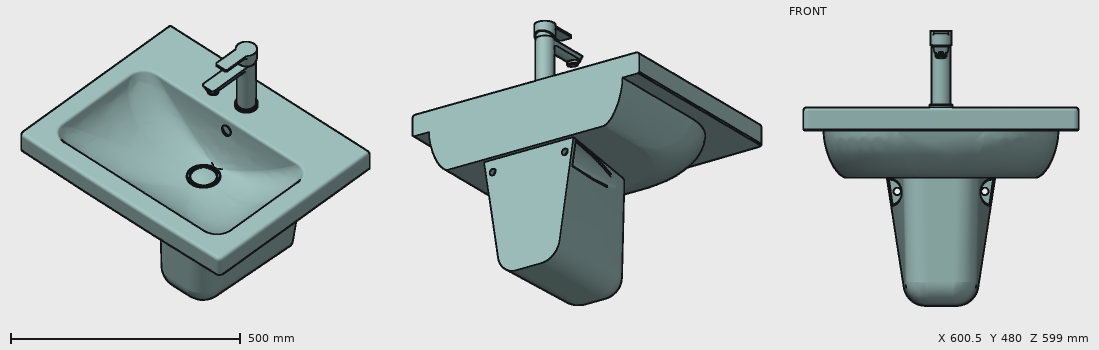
import cadquery as cq
import math


DECK_WIDTH = 600.5
DECK_DEPTH = 480.0
DECK_THICKNESS = 51.0
FRONT_BOW = 3.0
DECK_CORNER_RADIUS = 12.0
DECK_TOP_FILLET = 8.0
DECK_BOTTOM_CHAMFER = 3.0

BOWL_DEPTH = 153.5
SHELL_HALF_WIDTH = 256.5
SHELL_FRONT = -428.5
SHELL_BOTTOM_HALF_WIDTH = 206.0
SHELL_BOTTOM_FRONT = -300.0
SHELL_CORNER_RADIUS = 162.0
BOWL_CURVE_EXPONENT = 1.7

OPENING_HALF_WIDTH = 249.0
OPENING_BACK = -135.0
OPENING_FRONT = -429.0
OPENING_CORNER_RADIUS = 36.0
OPENING_FILLET = 6.5
BASIN_FLOOR = -119.5
LOFT_STEPS = 6

OVERFLOW_RADIUS = 12.5
OVERFLOW_Z = -33.0
OVERFLOW_REACH = 36.0

DRAIN_Y = -209.5
DRAIN_RADIUS = 37.0
DRAIN_EDGE_MARGIN = 0.5
DRAIN_THICKNESS = 12.0
DRAIN_FLANGE_CHAMFER = 2.0
PLUG_RADIUS = 31.0
PLUG_GROOVE_WIDTH = 2.5
PLUG_GROOVE_DEPTH = 2.5
PLUG_DOME_HEIGHT = 3.5

SHROUD_BACK = -11.5
SHROUD_FRONT = -291.0
SHROUD_TOP = -BOWL_DEPTH
SHROUD_BACK_BOTTOM = -433.0
SHROUD_FRONT_BOTTOM = -428.5
SHROUD_BACK_TOP_HALF = 118.0
SHROUD_BACK_BOTTOM_HALF = 75.0
SHROUD_FRONT_TOP_HALF = 77.0
SHROUD_FRONT_BOTTOM_HALF = 76.0
SHROUD_FILLET = 49.0

SCOOP_RADIUS = 29.0
SCOOP_X = 114.0
SCOOP_Z = -185.5
SCOOP_BACK = -26.5
SCOOP_RIM_CHAMFER = 2.5
SCREW_HOLE_RADIUS = 8.0
SCREW_HOLE_X = 95.5
SCREW_HOLE_Z = -183.0

TAP_Y = -73.0
COLUMN_RADIUS = 21.0
COLUMN_HEIGHT = 132.0
TAP_FLANGE_RADIUS = 25.0
TAP_FLANGE_HEIGHT = 6.5
TAP_FLANGE_CHAMFER = 2.0
SPOUT_HALF_WIDTH = 17.0
SPOUT_LOWER_HALF_WIDTH = 15.0
SPOUT_SIDE_BOTTOM = 121.0
SPOUT_TIP = -198.0
SPOUT_TIP_SLANT = 8.5
SPOUT_BOTTOM = 114.0
SPOUT_CORNER_RADIUS = 7.0
SPOUT_BLEND_RADIUS = 12.0

HANDLE_TOP = 166.0
NECK_RADIUS = 20.5
CAP_RADIUS = 23.5
CAP_BACK_BOTTOM = 144.5
CAP_FRONT_BOTTOM = 135.5
LEVER_TIP = -155.0
LEVER_HALF_WIDTH = 16.0
LEVER_THICKNESS = 5.0
LEVER_CORNER_RADIUS = 5.0
LEVER_ROOT_FILLET = 5.0

AERATOR_Y = -179.5
AERATOR_RADIUS = 12.5
AERATOR_NOZZLE_RADIUS = 11.0
AERATOR_TILT = 11.0
AERATOR_COLLAR_TOP = 4.0
AERATOR_COLLAR_BOTTOM = 2.5
AERATOR_NOZZLE_BOTTOM = 5.5

EDGE_MARGIN = 0.5


def curve_inset(depth_fraction):
    """Share of the total inset reached at a share of the depth, on a superellipse."""
    remaining = max(0.0, 1.0 - depth_fraction**BOWL_CURVE_EXPONENT)
    return 1.0 - remaining ** (1.0 / BOWL_CURVE_EXPONENT)


def blend(start, end, share):
    return start + (end - start) * share


def loft_depth_fractions():
    """Depth shares that lie closer together toward the flat bottom."""
    return [math.sin(math.pi / 2 * step / LOFT_STEPS) for step in range(LOFT_STEPS + 1)]


def rounded_rectangle(half_width, back, front, radius, z):
    center = cq.Vector(0, (back + front) / 2, z)
    face = cq.Face.makePlane(back - front, 2 * half_width, center)
    return face.fillet2D(radius, face.Vertices()).outerWire()


def shell_outline(half_width, front, z):
    """Outline that is open to the wall at the back and has round front corners."""
    radius = SHELL_CORNER_RADIUS
    diagonal = radius * (1 - math.sqrt(0.5))
    outline = (
        cq.Workplane("XY", origin=(0, 0, z))
        .moveTo(-half_width, 0)
        .lineTo(-half_width, front + radius)
        .threePointArc((-half_width + diagonal, front + diagonal), (-half_width + radius, front))
        .lineTo(half_width - radius, front)
        .threePointArc((half_width - diagonal, front + diagonal), (half_width, front + radius))
        .lineTo(half_width, 0)
        .close()
    )
    return outline.val()


def make_deck():
    half = DECK_WIDTH / 2
    corner_y = -DECK_DEPTH + FRONT_BOW
    deck = (
        cq.Workplane("XY", origin=(0, 0, -DECK_THICKNESS))
        .moveTo(-half, 0)
        .lineTo(-half, corner_y)
        .threePointArc((0, -DECK_DEPTH), (half, corner_y))
        .lineTo(half, 0)
        .close()
        .extrude(DECK_THICKNESS)
    )
    deck = deck.edges("|Z").edges("<Y").fillet(DECK_CORNER_RADIUS)
    deck = deck.faces(">Z").edges("not >Y").fillet(DECK_TOP_FILLET)
    return deck.faces("<Z").edges("not >Y").chamfer(DECK_BOTTOM_CHAMFER)


def make_bowl_shell():
    outlines = []
    for fraction in loft_depth_fractions():
        inset = curve_inset(fraction)
        outlines.append(
            shell_outline(
                blend(SHELL_HALF_WIDTH, SHELL_BOTTOM_HALF_WIDTH, inset),
                blend(SHELL_FRONT, SHELL_BOTTOM_FRONT, inset),
                blend(-DECK_THICKNESS, -BOWL_DEPTH, fraction),
            )
        )
    return cq.Workplane(cq.Solid.makeLoft(outlines))


def make_bowl_cavity():
    floor_half = DRAIN_RADIUS + DRAIN_EDGE_MARGIN
    outlines = []
    for fraction in loft_depth_fractions():
        inset = curve_inset(fraction)
        half_width = blend(OPENING_HALF_WIDTH, floor_half, inset)
        back = blend(OPENING_BACK, DRAIN_Y + floor_half, inset)
        front = blend(OPENING_FRONT, DRAIN_Y - floor_half, inset)
        half_depth = (back - front) / 2
        opening_roundness = OPENING_CORNER_RADIUS / ((OPENING_BACK - OPENING_FRONT) / 2)
        floor_roundness = 1.0 - DRAIN_EDGE_MARGIN / floor_half
        radius = half_depth * blend(opening_roundness, floor_roundness, math.sqrt(inset))
        z = blend(0.0, BASIN_FLOOR, fraction)
        outlines.append(rounded_rectangle(half_width, back, front, radius, z))
    return cq.Workplane(cq.Solid.makeLoft(outlines))


def make_basin():
    basin = make_deck().union(make_bowl_shell()).cut(make_bowl_cavity())
    inside_opening = cq.selectors.BoxSelector(
        (-OPENING_HALF_WIDTH - EDGE_MARGIN, OPENING_FRONT - EDGE_MARGIN, -EDGE_MARGIN),
        (OPENING_HALF_WIDTH + EDGE_MARGIN, OPENING_BACK + EDGE_MARGIN, EDGE_MARGIN),
    )
    basin = basin.edges(inside_opening).fillet(OPENING_FILLET)
    overflow = (
        cq.Workplane("XZ", origin=(0, OPENING_BACK, OVERFLOW_Z))
        .circle(OVERFLOW_RADIUS)
        .extrude(OVERFLOW_REACH)
    )
    drain_recess = (
        cq.Workplane("XY", origin=(0, DRAIN_Y, BASIN_FLOOR - DRAIN_THICKNESS))
        .circle(DRAIN_RADIUS)
        .extrude(DRAIN_THICKNESS)
    )
    return basin.cut(overflow).cut(drain_recess)


def make_drain():
    """Drain fitting: a flange, a ring groove and a shallow domed plug."""
    groove_inner = PLUG_RADIUS - PLUG_GROOVE_WIDTH
    flange_top = DRAIN_FLANGE_CHAMFER
    dome_radius = (groove_inner**2 + PLUG_DOME_HEIGHT**2) / (2 * PLUG_DOME_HEIGHT)
    profile = (
        cq.Workplane("XZ", origin=(0, DRAIN_Y, BASIN_FLOOR))
        .moveTo(0, -DRAIN_THICKNESS)
        .lineTo(DRAIN_RADIUS, -DRAIN_THICKNESS)
        .lineTo(DRAIN_RADIUS, 0)
        .lineTo(DRAIN_RADIUS - DRAIN_FLANGE_CHAMFER, flange_top)
        .lineTo(PLUG_RADIUS, flange_top)
        .lineTo(PLUG_RADIUS, -PLUG_GROOVE_DEPTH)
        .lineTo(groove_inner, -PLUG_GROOVE_DEPTH)
        .lineTo(groove_inner, 0)
        .radiusArc((0, PLUG_DOME_HEIGHT), -dome_radius)
        .close()
    )
    return profile.revolve(360, (0, 0, 0), (0, 1, 0))


def shroud_section(y, top_half, bottom_half, bottom):
    points = [
        (-top_half, y, SHROUD_TOP),
        (top_half, y, SHROUD_TOP),
        (bottom_half, y, bottom),
        (-bottom_half, y, bottom),
    ]
    return cq.Wire.makePolygon([cq.Vector(*point) for point in points], close=True)


def make_shroud():
    back = shroud_section(
        SHROUD_BACK, SHROUD_BACK_TOP_HALF, SHROUD_BACK_BOTTOM_HALF, SHROUD_BACK_BOTTOM
    )
    front = shroud_section(
        SHROUD_FRONT, SHROUD_FRONT_TOP_HALF, SHROUD_FRONT_BOTTOM_HALF, SHROUD_FRONT_BOTTOM
    )
    shroud = cq.Workplane(cq.Solid.makeLoft([back, front], True))
    shroud = shroud.edges("not (>Y or >Z)").fillet(SHROUD_FILLET)
    for side in (-1, 1):
        scoop = (
            cq.Workplane("XZ", origin=(side * SCOOP_X, SCOOP_BACK, SCOOP_Z))
            .circle(SCOOP_RADIUS)
            .extrude(SCOOP_BACK - SHROUD_FRONT)
        )
        screw_hole = (
            cq.Workplane("XZ", origin=(side * SCREW_HOLE_X, SHROUD_BACK, SCREW_HOLE_Z))
            .circle(SCREW_HOLE_RADIUS)
            .extrude(SHROUD_BACK - SCOOP_BACK)
        )
        shroud = shroud.cut(scoop)
        rim_inner_x = SCOOP_X - SCOOP_RADIUS - EDGE_MARGIN
        rim_bottom = SCOOP_Z - SCOOP_RADIUS - EDGE_MARGIN
        scoop_rim = cq.selectors.BoxSelector(
            (side * rim_inner_x, SHROUD_FRONT, rim_bottom),
            (side * SHROUD_BACK_TOP_HALF, SCOOP_BACK + EDGE_MARGIN, SHROUD_TOP - EDGE_MARGIN),
        )
        shroud = shroud.edges(scoop_rim).edges("%BSPLINE").chamfer(SCOOP_RIM_CHAMFER)
        shroud = shroud.cut(screw_hole)
    return shroud


def make_spout():
    """Flat-topped spout with a rounded underside and a slanted tip, starting at the column axis."""
    section = (
        cq.Workplane("XZ", origin=(0, TAP_Y, 0))
        .moveTo(-SPOUT_HALF_WIDTH, COLUMN_HEIGHT)
        .lineTo(SPOUT_HALF_WIDTH, COLUMN_HEIGHT)
        .lineTo(SPOUT_LOWER_HALF_WIDTH, SPOUT_SIDE_BOTTOM)
        .threePointArc((0, SPOUT_BOTTOM), (-SPOUT_LOWER_HALF_WIDTH, SPOUT_SIDE_BOTTOM))
        .close()
        .extrude(TAP_Y - SPOUT_TIP)
    )
    side_outline = (
        cq.Workplane("YZ", origin=(-SPOUT_HALF_WIDTH, 0, 0))
        .moveTo(TAP_Y, COLUMN_HEIGHT)
        .lineTo(SPOUT_TIP, COLUMN_HEIGHT)
        .lineTo(SPOUT_TIP + SPOUT_TIP_SLANT, SPOUT_BOTTOM)
        .lineTo(TAP_Y, SPOUT_BOTTOM)
        .close()
        .extrude(2 * SPOUT_HALF_WIDTH)
    )
    spout = section.intersect(side_outline)
    tip_sides = cq.selectors.BoxSelector(
        (-SPOUT_HALF_WIDTH, SPOUT_TIP, SPOUT_SIDE_BOTTOM + EDGE_MARGIN),
        (SPOUT_HALF_WIDTH, SPOUT_TIP + SPOUT_TIP_SLANT, COLUMN_HEIGHT - EDGE_MARGIN),
    )
    return spout.edges(tip_sides).fillet(SPOUT_CORNER_RADIUS)


def make_tap_body(aerator_socket):
    flange = (
        cq.Workplane("XY", origin=(0, TAP_Y, 0))
        .circle(TAP_FLANGE_RADIUS)
        .extrude(TAP_FLANGE_HEIGHT)
        .faces(">Z")
        .chamfer(TAP_FLANGE_CHAMFER)
    )
    column = cq.Workplane("XY", origin=(0, TAP_Y, 0)).circle(COLUMN_RADIUS).extrude(COLUMN_HEIGHT)
    body = column.union(make_spout())
    root_half_width = SPOUT_HALF_WIDTH + EDGE_MARGIN
    root_front = TAP_Y - COLUMN_RADIUS - EDGE_MARGIN
    root = cq.selectors.BoxSelector(
        (-root_half_width, root_front, SPOUT_BOTTOM - EDGE_MARGIN),
        (root_half_width, TAP_Y, COLUMN_HEIGHT - EDGE_MARGIN),
    )
    body = body.edges(root).fillet(SPOUT_BLEND_RADIUS)
    return body.union(flange).cut(aerator_socket)


def make_handle():
    """Neck, cap with a slanted lower edge, and a flat lever toward the front."""
    neck = (
        cq.Workplane("XY", origin=(0, TAP_Y, COLUMN_HEIGHT))
        .circle(NECK_RADIUS)
        .extrude(HANDLE_TOP - COLUMN_HEIGHT)
    )
    cap = (
        cq.Workplane("YZ", origin=(-CAP_RADIUS, 0, 0))
        .moveTo(TAP_Y + CAP_RADIUS, CAP_BACK_BOTTOM)
        .lineTo(TAP_Y + CAP_RADIUS, HANDLE_TOP)
        .lineTo(TAP_Y - CAP_RADIUS, HANDLE_TOP)
        .lineTo(TAP_Y - CAP_RADIUS, CAP_FRONT_BOTTOM)
        .lineTo(TAP_Y, CAP_FRONT_BOTTOM)
        .close()
        .extrude(2 * CAP_RADIUS)
    )
    cap_round = (
        cq.Workplane("XY", origin=(0, TAP_Y, COLUMN_HEIGHT))
        .circle(CAP_RADIUS)
        .extrude(HANDLE_TOP - COLUMN_HEIGHT)
    )
    lever_length = TAP_Y - LEVER_TIP
    lever = (
        cq.Workplane("XY", origin=(0, TAP_Y - lever_length / 2, HANDLE_TOP - LEVER_THICKNESS))
        .rect(2 * LEVER_HALF_WIDTH, lever_length)
        .extrude(LEVER_THICKNESS)
        .edges("|Z")
        .edges("<Y")
        .fillet(LEVER_CORNER_RADIUS)
    )
    handle = cap.intersect(cap_round).union(lever)
    root_half_width = LEVER_HALF_WIDTH + EDGE_MARGIN
    root_front = TAP_Y - CAP_RADIUS - EDGE_MARGIN
    root_bottom = HANDLE_TOP - LEVER_THICKNESS - EDGE_MARGIN
    root = cq.selectors.BoxSelector(
        (-root_half_width, root_front, root_bottom),
        (root_half_width, TAP_Y, HANDLE_TOP - EDGE_MARGIN),
    )
    return handle.edges(root).fillet(LEVER_ROOT_FILLET).union(neck)


def tilted_cylinder(radius, top, bottom):
    """Cylinder on the aerator axis; its ends are measured from the spout underside."""
    cylinder = cq.Workplane("XY", origin=(0, 0, -bottom)).circle(radius).extrude(top + bottom)
    cylinder = cylinder.rotate((0, 0, 0), (1, 0, 0), -AERATOR_TILT)
    return cylinder.translate((0, AERATOR_Y, SPOUT_BOTTOM))


def make_aerator_collar():
    return tilted_cylinder(AERATOR_RADIUS, AERATOR_COLLAR_TOP, AERATOR_COLLAR_BOTTOM)


def make_aerator():
    nozzle = tilted_cylinder(AERATOR_NOZZLE_RADIUS, 0, AERATOR_NOZZLE_BOTTOM)
    return make_aerator_collar().union(nozzle)


drain = make_drain()
basin = make_basin()
shroud = make_shroud()
tap_body = make_tap_body(make_aerator_collar())
handle = make_handle()
aerator = make_aerator()

result = cq.Compound.makeCompound(
    [basin.val(), drain.val(), shroud.val(), tap_body.val(), handle.val(), aerator.val()]
)